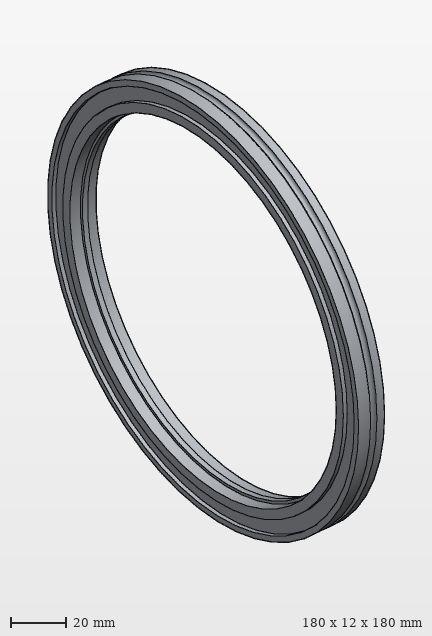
import cadquery as cq

outer_diameter = 180.0
bore_diameter = 151.7
counterbore_diameter = 154.0
recess_inner_diameter = 162.4
recess_outer_diameter = 175.0
width = 12.0
recess_depth = 1.8
counterbore_depth = 4.9
rim_groove_radius = 1.5
rim_groove_offset = 7.0

front_y = -width / 2


def cylinder(diameter, start_y, length):
    """Solid cylinder along +Y, starting at start_y."""
    return cq.Workplane("XZ", origin=(0, start_y, 0)).circle(diameter / 2).extrude(-length)


ring = cylinder(outer_diameter, front_y, width).cut(cylinder(bore_diameter, front_y, width))

for start_y in (front_y, width / 2 - counterbore_depth):
    ring = ring.cut(cylinder(counterbore_diameter, start_y, counterbore_depth))

recess = cylinder(recess_outer_diameter, front_y, recess_depth).cut(
    cylinder(recess_inner_diameter, front_y, recess_depth)
)
ring = ring.cut(recess)

rim_groove = (
    cq.Workplane("XY")
    .center(outer_diameter / 2, front_y + rim_groove_offset)
    .circle(rim_groove_radius)
    .revolve(360, (-outer_diameter / 2, 0), (-outer_diameter / 2, 1))
)
result = ring.cut(rim_groove)